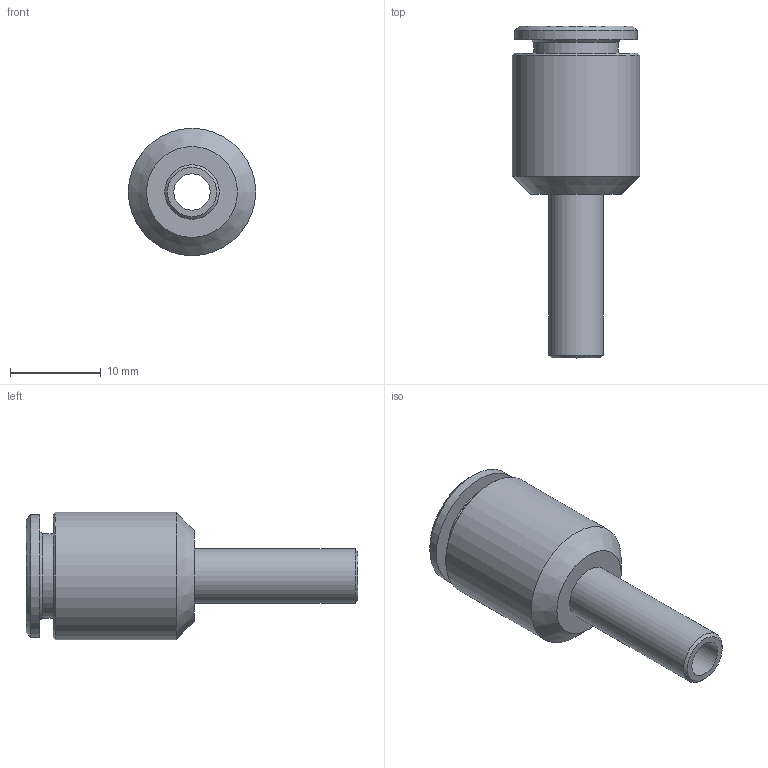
import cadquery as cq

overall_length = 36.5

stem_radius = 3.0
stem_chamfer = 0.3
stem_length = 18.0
bore_radius = 2.0

body_radius = 7.0
body_length = 15.5
body_taper = 2.0
body_edge_chamfer = 0.2

collar_radius = 6.75
collar_thickness = 1.5
collar_chamfer = 0.5

neck_radius = 4.65
neck_flare_radius = 4.95
neck_flare_length = 0.3

body_start = stem_length
body_end = body_start + body_length
collar_start = overall_length - collar_thickness


def turned(profile):
    """Revolve a (radius, y) half-section about the Y axis."""
    return cq.Workplane("XY").polyline(profile).close().revolve(360, (0, 0, 0), (0, 1, 0))


def make_outer_shape():
    """Stem, tapered body, necked groove and release collar as one turned solid."""
    stem = [
        (0, 0),
        (stem_radius - stem_chamfer, 0),
        (stem_radius, stem_chamfer),
        (stem_radius, body_start),
    ]
    body = [
        (body_radius - body_taper, body_start),
        (body_radius, body_start + body_taper),
        (body_radius, body_end - body_edge_chamfer),
        (body_radius - body_edge_chamfer, body_end),
    ]
    neck = [
        (neck_radius, body_end),
        (neck_radius, collar_start - neck_flare_length),
        (neck_flare_radius, collar_start),
    ]
    collar = [
        (collar_radius, collar_start),
        (collar_radius, overall_length - collar_chamfer),
        (collar_radius - collar_chamfer, overall_length),
        (0, overall_length),
    ]
    return turned(stem + body + neck + collar)


def make_bore():
    """Straight passage through the full length."""
    return turned([(0, 0), (bore_radius, 0), (bore_radius, overall_length), (0, overall_length)])


result = make_outer_shape().cut(make_bore())